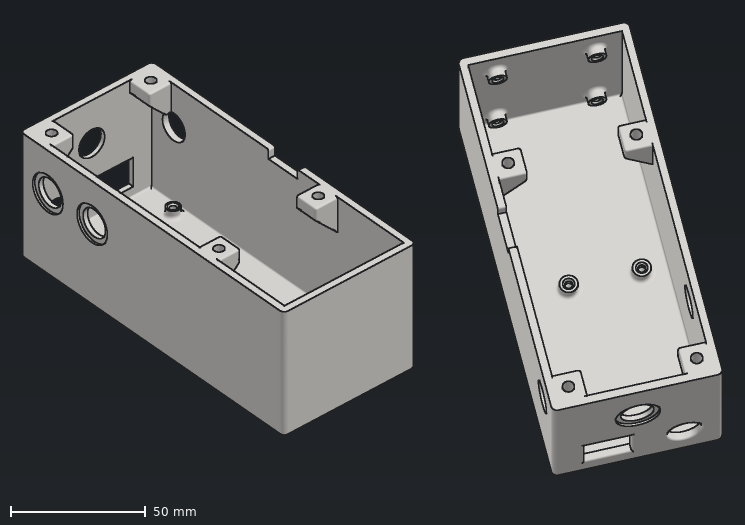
import cadquery as cq
length = 148.4
width = 65.3
height = 58.0
wall = 3.3
floor = 3.0
corner_radius = 2.2
edge_radius = 1.0

inner_x = length / 2 - wall
inner_y = width / 2 - wall

tab_reach = 10.8
tab_tip_height = 5.6
corner_tab_end_x = -59.8
mid_tab_x = 28.2
mid_tab_width = 11.1
screw_hole_diameter = 4.5
corner_screw_x = -65.7
mid_screw_x = 28.5
screw_y = 24.5

socket_diameter = 12.6
socket_recess_diameter = 17.0
socket_recess_depth = 1.0
socket_z = 38.0
socket_a_x = -58.5
socket_b_x = -33.5

round_port_diameter = 13.0
round_port_y = -18.0
round_port_z = 14.4
square_port_width = 18.0
square_port_height = 13.5
square_port_y = 11.5
square_port_z = 14.4

notch_x = 3.0
notch_width = 16.2
notch_depth = 4.5

post_height = 4.0
post_root = 2.2
post_hole_diameter = 3.0
post_hole_mouth_diameter = 4.5
drill_point_depth = 1.5
large_post_diameter = 7.0
small_post_diameter = 6.0
post_flare = 2.0
small_posts = [(-52.7, 24.0), (-53.7, -24.0)]
large_posts = [(-1.8, 8.8), (-1.8, -19.1)]
wall_post_y = 19.0
wall_post_inset = 10.0


def make_shell():
    outer = cq.Workplane("XY").box(length, width, height, centered=(True, True, False))
    outer = outer.edges("|Z").fillet(corner_radius).faces("<Z").edges().fillet(edge_radius)
    cavity = (
        cq.Workplane("XY")
        .workplane(offset=floor)
        .rect(2 * inner_x, 2 * inner_y)
        .extrude(height - floor)
        .faces("<Z").edges().fillet(edge_radius)
    )
    return outer.cut(cavity)


def make_tab(start_x, end_x, free_sides):
    """Tab on the +Y wall; free_sides selects the X sides that stand clear of a wall."""
    tip_y = inner_y - tab_reach
    tip_z = height - tab_tip_height
    root_y = inner_y + wall / 2
    tab = (
        cq.Workplane("YZ")
        .workplane(offset=start_x)
        .polyline([
            (tip_y, height),
            (tip_y, tip_z),
            (root_y, tip_z - (root_y - tip_y)),
            (root_y, height),
        ])
        .close()
        .extrude(end_x - start_x)
    )
    round_edges = tab.edges("(>Z and <Y) and |X")
    for side in free_sides:
        round_edges = round_edges.add(tab.faces(side + "X").edges("|Z or |Y").edges("<Y or >Z"))
    return tab.newObject(round_edges.vals()).fillet(edge_radius)


def make_post(diameter, point_depth):
    """Post along +Z from Z = 0 with a flared foot and a countersunk blind hole.

    The bottom of the hole is a cone of the given depth, or flat when that is 0.
    """
    post_radius = diameter / 2
    hole_radius = post_hole_diameter / 2
    mouth_radius = post_hole_mouth_diameter / 2
    mouth_depth = mouth_radius - hole_radius
    return (
        cq.Workplane("XZ")
        .moveTo(0, -post_root)
        .lineTo(post_radius + post_flare, -post_root)
        .lineTo(post_radius + post_flare, 0)
        .radiusArc((post_radius, post_flare), post_flare)
        .lineTo(post_radius, post_height)
        .lineTo(mouth_radius, post_height)
        .lineTo(hole_radius, post_height - mouth_depth)
        .lineTo(hole_radius, point_depth)
        .lineTo(0, 0)
        .close()
        .revolve(360, (0, 0, 0), (0, 1, 0))
    )


def add_tabs(body):
    mid_start = mid_tab_x - mid_tab_width / 2
    mid_tab = make_tab(mid_start, mid_start + mid_tab_width, "<>")
    corner_tab = make_tab(-inner_x - wall / 2, corner_tab_end_x, ">")
    for tab in (mid_tab, corner_tab):
        body = body.union(tab).union(tab.mirror("XZ"))
    screw_points = [(x, y) for x in (corner_screw_x, mid_screw_x) for y in (-screw_y, screw_y)]
    holes = (
        cq.Workplane("XY")
        .workplane(offset=height / 2)
        .pushPoints(screw_points)
        .circle(screw_hole_diameter / 2)
        .extrude(height / 2)
    )
    return body.cut(holes)


def add_posts(body):
    small_post = make_post(small_post_diameter, drill_point_depth)
    large_post = make_post(large_post_diameter, drill_point_depth)
    wall_post = make_post(large_post_diameter, 0)
    wall_post = wall_post.rotate((0, 0, 0), (0, 1, 0), -90)
    for x, y in small_posts:
        body = body.union(small_post.translate((x, y, floor)))
    for x, y in large_posts:
        body = body.union(large_post.translate((x, y, floor)))
    for y in (-wall_post_y, wall_post_y):
        for z in (wall_post_inset, height - wall_post_inset):
            body = body.union(wall_post.translate((inner_x, y, z)))
    return body


def front_cylinder(x, diameter, depth):
    """Cylinder running inward from the -Y face at socket height."""
    return (
        cq.Workplane("XZ", origin=(x, -width / 2, socket_z))
        .circle(diameter / 2)
        .extrude(-depth)
    )


def end_plane(y, z):
    """Sketch plane on the -X face whose normal points into the box."""
    return cq.Workplane("YZ", origin=(-length / 2, y, z))


def cut_sockets(body):
    for x, depth in ((socket_a_x, width), (socket_b_x, 2 * wall)):
        body = body.cut(front_cylinder(x, socket_diameter, depth))
        body = body.cut(front_cylinder(x, socket_recess_diameter, socket_recess_depth))
    plane = end_plane(0, socket_z)
    body = body.cut(plane.circle(socket_diameter / 2).extrude(2 * wall))
    return body.cut(plane.circle(socket_recess_diameter / 2).extrude(socket_recess_depth))


def cut_ports(body):
    round_port = end_plane(round_port_y, round_port_z).circle(round_port_diameter / 2)
    square_port = end_plane(square_port_y, square_port_z).rect(square_port_width, square_port_height)
    for port in (round_port, square_port):
        body = body.cut(port.extrude(2 * wall))
    mouths = body.faces("<X").val().innerWires()
    return body.newObject(mouths).edges().fillet(edge_radius)


def cut_notch(body):
    half = notch_width / 2
    bottom = height - notch_depth
    notch = (
        cq.Workplane("XZ", origin=(notch_x, width / 2, 0))
        .moveTo(-half, bottom)
        .lineTo(half, bottom)
        .lineTo(half, height - edge_radius)
        .radiusArc((half + edge_radius, height), edge_radius)
        .lineTo(-half - edge_radius, height)
        .radiusArc((-half, height - edge_radius), edge_radius)
        .close()
        .extrude(wall)
    )
    return body.cut(notch)


result = make_shell()
result = cut_ports(result)
result = add_tabs(result)
result = add_posts(result)
result = cut_sockets(result)
result = cut_notch(result)